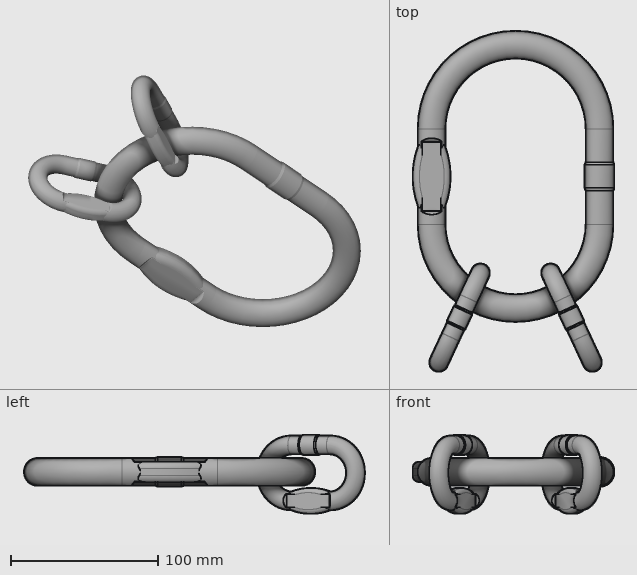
import cadquery as cq
import math

master_wire = 19.0
master_bend = 57.0
master_straight = 65.0

coupling_wire = 13.0
coupling_bend = 19.0
coupling_straight = 29.0
coupling_tilt = 25.0
coupling_x = 38.0
coupling_y = -96.0
coupling_z = -0.7

sleeve_diameter = 20.5
sleeve_length = 15.8
sleeve_foot_length = 19.5
lug_thickness = 14.0
lug_half_width = 13.0
lug_edge_flat = 4.9
lug_side_radius = 58.0
lug_half_length = 22.3
plate_width = 12.8
plate_length = 46.5
recess_step = 0.5
recess_end_run = 2.3


def bare_link(wire, bend, straight):
    """Oval ring of round wire in the XY plane, with its legs along Y."""
    half = straight / 2
    path = (
        cq.Workplane("XY")
        .moveTo(bend, -half)
        .lineTo(bend, half)
        .threePointArc((0, half + bend), (-bend, half))
        .lineTo(-bend, -half)
        .threePointArc((0, -half - bend), (bend, -half))
        .close()
    )
    section = cq.Workplane("XZ", origin=(bend, -half, 0)).circle(wire / 2)
    return section.sweep(path)


def weld_sleeve(wire, bend):
    """Thicker collar with conical ends around the +X leg."""
    scale = wire / master_wire
    radius = sleeve_diameter / 2 * scale
    half = sleeve_length / 2 * scale
    foot = sleeve_foot_length / 2 * scale
    return (
        cq.Workplane("XY")
        .moveTo(0, -foot)
        .lineTo(wire / 2, -foot)
        .lineTo(radius, -half)
        .lineTo(radius, half)
        .lineTo(wire / 2, foot)
        .lineTo(0, foot)
        .close()
        .revolve(360, (0, 0, 0), (0, 1, 0))
        .translate((bend, 0, 0))
    )


def lug_recesses(wire, bend):
    """Material to remove above and below the -X leg: a flat floor with sloping ends."""
    scale = wire / master_wire
    floor = (lug_thickness / 2 - recess_step) * scale
    half = (plate_length / 2 + recess_step) * scale
    mouth_half = half + recess_end_run * scale
    cutter = (
        cq.Workplane("YZ")
        .moveTo(-half, floor)
        .lineTo(half, floor)
        .lineTo(mouth_half, wire / 2)
        .lineTo(-mouth_half, wire / 2)
        .close()
        .extrude(wire / 2, both=True)
        .translate((-bend, 0, 0))
    )
    return cutter.union(cutter.mirror("XY"))


def lug_plate(wire, bend):
    """Rectangular plate standing slightly proud of both recess floors."""
    scale = wire / master_wire
    return (
        cq.Workplane("XY")
        .box(plate_width * scale, plate_length * scale, lug_thickness * scale)
        .translate((-bend, 0, 0))
    )


def lug_bulge(wire, bend):
    """Lens with bowed, rounded sides that widens the flattened -X leg."""
    scale = wire / master_wire
    thickness = lug_thickness * scale
    middle = lug_half_width * scale
    half = lug_half_length * scale
    side_radius = lug_side_radius * scale
    end = middle - side_radius + math.sqrt(side_radius**2 - half**2)
    edge_round = (lug_thickness - lug_edge_flat) / 2 * scale
    return (
        cq.Workplane("XY", origin=(-bend, 0, -thickness / 2))
        .moveTo(-end, -half)
        .lineTo(end, -half)
        .threePointArc((middle, 0), (end, half))
        .lineTo(-end, half)
        .threePointArc((-middle, 0), (-end, -half))
        .close()
        .extrude(thickness)
        .edges("%CIRCLE")
        .fillet(edge_round)
    )


def chain_link(wire, bend, straight):
    """Complete link: ring, flattened lug on the -X leg and weld sleeve on the +X leg."""
    return (
        bare_link(wire, bend, straight)
        .cut(lug_recesses(wire, bend))
        .union(lug_plate(wire, bend))
        .union(lug_bulge(wire, bend))
        .union(weld_sleeve(wire, bend))
        .clean()
    )


def coupling_link(side):
    """Upright link with its sleeve on top, leaning outward towards side (-1 or 1) in plan."""
    return (
        chain_link(coupling_wire, coupling_bend, coupling_straight)
        .rotate((0, 0, 0), (0, 1, 0), -90)
        .rotate((0, 0, 0), (0, 0, 1), side * coupling_tilt)
        .translate((side * coupling_x, coupling_y, coupling_z))
    )


master_link = chain_link(master_wire, master_bend, master_straight)
coupling_links = [coupling_link(side) for side in (-1, 1)]

result = cq.Compound.makeCompound([master_link.val(), *[link.val() for link in coupling_links]])